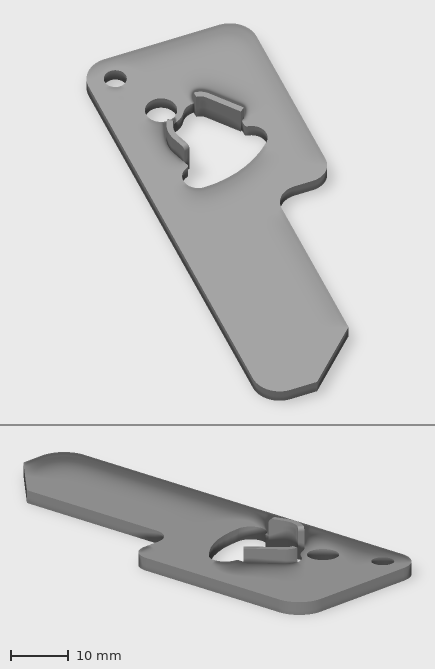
import cadquery as cq
import math

plate_length = 85.0
head_width = 31.5
head_length = 40.5
tongue_width = 20.0
plate_thickness = 2.36
corner_radius = 5.0
shoulder_radius = 4.0
tip_chamfer = 10.0

corner_hole_diameter = 4.0
corner_hole_offset = 5.0
pivot_x = 14.95
pivot_y = 9.5
pivot_diameter = 5.6

lobe_radius = pivot_diameter / 2
neck_fillet = 0.5
sweep_radius = 17.0
sweep_angle = 45.0
pivot_web_radius = 3.9
upper_ledge_y = 21.5

finger_thickness = 1.1
upper_finger_top = 5.08
upper_bend_direction = 57.9
upper_bend_radius = 3.03
upper_blade_angle = 38.5
upper_blade_length = 6.95
upper_start_angle = 180.0
lower_finger_top = 5.96
lower_bend_direction = 20.2
lower_bend_radius = 5.27
lower_blade_angle = 18.0
lower_blade_length = 2.95
lower_start_angle = 228.5
lower_tip_fillet = 0.8


def polar(center, radius, angle):
    """Point at a radius and an angle in degrees around a center."""
    turn = math.radians(angle)
    return (center[0] + radius * math.cos(turn), center[1] + radius * math.sin(turn))


def line_circle_entry(start, angle, center, radius):
    """Point where a ray first meets a circle."""
    turn = math.radians(angle)
    dx = center[0] - start[0]
    dy = center[1] - start[1]
    along = dx * math.cos(turn) + dy * math.sin(turn)
    aside = dy * math.cos(turn) - dx * math.sin(turn)
    return polar(start, along - math.sqrt(radius**2 - aside**2), angle)


def angle_of(center, point):
    """Direction of a point around a center, in degrees from 0 to 360."""
    return math.degrees(math.atan2(point[1] - center[1], point[0] - center[0])) % 360


def arc_middle(center, radius, start, end):
    """Point halfway between two points of a circle whose angles do not pass 0 degrees."""
    return polar(center, radius, (angle_of(center, start) + angle_of(center, end)) / 2)


pivot = (pivot_x, pivot_y)
upper_bend = polar(pivot, pivot_web_radius + upper_bend_radius, upper_bend_direction)
lower_bend = polar(pivot, pivot_web_radius + lower_bend_radius, lower_bend_direction)
upper_lobe = polar(pivot, sweep_radius, sweep_angle)
lower_lobe = polar(pivot, sweep_radius, 0)
upper_tangent_angle = upper_blade_angle + 90
lower_tangent_angle = lower_blade_angle + 270


def make_plate():
    plate = (
        cq.Workplane("XY")
        .polyline([
            (0, 0),
            (plate_length, 0),
            (plate_length, tongue_width - tip_chamfer),
            (plate_length - tip_chamfer, tongue_width),
            (head_length, tongue_width),
            (head_length, head_width),
            (0, head_width),
        ])
        .close()
        .extrude(plate_thickness)
    )
    plate = plate.edges("|Z and <X").fillet(corner_radius)
    plate = plate.edges(cq.NearestToPointSelector((plate_length, 0, plate_thickness / 2))).fillet(corner_radius)
    for corner_y in (tongue_width, head_width):
        shoulder = cq.NearestToPointSelector((head_length, corner_y, plate_thickness / 2))
        plate = plate.edges(shoulder).fillet(shoulder_radius)
    return plate


def make_holes():
    corner_hole = (
        cq.Workplane("XY")
        .center(corner_hole_offset, corner_hole_offset)
        .circle(corner_hole_diameter / 2)
        .extrude(plate_thickness)
    )
    pivot_hole = cq.Workplane("XY").center(*pivot).circle(pivot_diameter / 2).extrude(plate_thickness)
    return corner_hole.union(pivot_hole)


def make_window():
    outer_radius = sweep_radius + lobe_radius
    ledge_rise = upper_ledge_y - upper_lobe[1]
    ledge_end = (upper_lobe[0] - math.sqrt(lobe_radius**2 - ledge_rise**2), upper_ledge_y)
    upper_tangent = polar(upper_bend, upper_bend_radius, upper_tangent_angle)
    ledge_run = (upper_ledge_y - upper_tangent[1]) / math.tan(math.radians(upper_blade_angle))
    ledge_start = (upper_tangent[0] + ledge_run, upper_ledge_y)
    web_start = polar(pivot, pivot_web_radius, upper_bend_direction)
    web_end = polar(pivot, pivot_web_radius, lower_bend_direction)
    lower_tangent = polar(lower_bend, lower_bend_radius, lower_tangent_angle)
    lower_entry = line_circle_entry(lower_tangent, lower_blade_angle, lower_lobe, lobe_radius)
    lower_lobe_bottom = (lower_lobe[0], lower_lobe[1] - lobe_radius)
    lower_exit = polar(pivot, outer_radius, 0)
    upper_exit = polar(pivot, outer_radius, sweep_angle)
    window = (
        cq.Workplane("XY")
        .moveTo(*ledge_end)
        .lineTo(*ledge_start)
        .lineTo(*upper_tangent)
        .threePointArc(arc_middle(upper_bend, upper_bend_radius, upper_tangent, web_start), web_start)
        .threePointArc(arc_middle(pivot, pivot_web_radius, web_start, web_end), web_end)
        .threePointArc(arc_middle(lower_bend, lower_bend_radius, web_end, lower_tangent), lower_tangent)
        .lineTo(*lower_entry)
        .threePointArc(lower_lobe_bottom, lower_exit)
        .threePointArc(polar(pivot, outer_radius, sweep_angle / 2), upper_exit)
        .threePointArc(arc_middle(upper_lobe, lobe_radius, upper_exit, ledge_end), ledge_end)
        .close()
        .extrude(plate_thickness)
    )
    for neck in (ledge_end, lower_entry):
        window = window.edges(cq.NearestToPointSelector((*neck, plate_thickness / 2))).fillet(neck_fillet)
    return window


def make_finger(bend, radius, start_angle, tangent_angle, blade_angle, blade_length, top):
    inner_radius = radius - finger_thickness
    middle_angle = (start_angle + tangent_angle) / 2
    outer_tangent = polar(bend, radius, tangent_angle)
    inner_tangent = polar(bend, inner_radius, tangent_angle)
    return (
        cq.Workplane("XY")
        .moveTo(*polar(bend, radius, start_angle))
        .threePointArc(polar(bend, radius, middle_angle), outer_tangent)
        .lineTo(*polar(outer_tangent, blade_length, blade_angle))
        .lineTo(*polar(inner_tangent, blade_length, blade_angle))
        .lineTo(*inner_tangent)
        .threePointArc(polar(bend, inner_radius, middle_angle), polar(bend, inner_radius, start_angle))
        .close()
        .extrude(top)
    )


def make_upper_finger():
    return make_finger(
        upper_bend, upper_bend_radius, upper_start_angle, upper_tangent_angle,
        upper_blade_angle, upper_blade_length, upper_finger_top,
    )


def make_lower_finger():
    finger = make_finger(
        lower_bend, lower_bend_radius, lower_start_angle, lower_tangent_angle,
        lower_blade_angle, lower_blade_length, lower_finger_top,
    )
    middle_radius = lower_bend_radius - finger_thickness / 2
    start = polar(lower_bend, middle_radius, lower_start_angle)
    tip = polar(polar(lower_bend, middle_radius, lower_tangent_angle), lower_blade_length, lower_blade_angle)
    for end in (start, tip):
        finger = finger.edges(cq.NearestToPointSelector((*end, lower_finger_top))).fillet(lower_tip_fillet)
    return finger


result = (
    make_plate()
    .cut(make_holes())
    .cut(make_window())
    .union(make_upper_finger())
    .union(make_lower_finger())
)